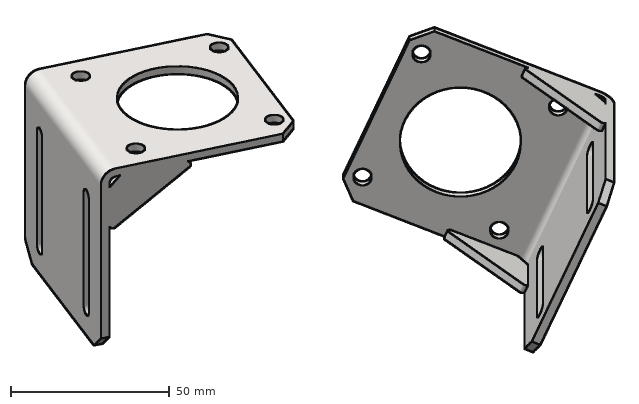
import cadquery as cq

width = 65.0
leg_length = 68.0
sheet = 3.0
bend_outer_radius = 5.0
bend_inner_radius = bend_outer_radius - sheet
corner_chamfer = 6.0

motor_center_y = 39.0
pilot_diameter = 38.3
bolt_spacing = 47.1
bolt_diameter = 5.8

slot_spacing = 40.0
slot_length = 46.4
slot_width = 4.5
slot_center_z = -37.1

gusset_thickness = 3.0
gusset_reach_y = 26.8
gusset_reach_z = 18.35
gusset_nose_y = 1.5
gusset_nose_z = 1.1
gusset_nose_radius = 1.0
gusset_relief = 3.5


def folded_sheet():
    """Two legs joined by a round bend, with the free corners cut off."""
    blank = (
        cq.Workplane("YZ")
        .polyline([
            (0, 0),
            (leg_length, 0),
            (leg_length, -sheet),
            (sheet, -sheet),
            (sheet, -leg_length),
            (0, -leg_length),
        ])
        .close()
        .extrude(width / 2, both=True)
    )
    inner_edge = cq.selectors.NearestToPointSelector((0, sheet, -sheet))
    outer_edge = cq.selectors.NearestToPointSelector((0, 0, 0))
    bent = blank.edges(inner_edge).fillet(bend_inner_radius)
    bent = bent.edges(outer_edge).fillet(bend_outer_radius)
    chamfered = bent.faces(">Y").edges("|Z").chamfer(corner_chamfer)
    return chamfered.faces("<Z").edges("|Y").chamfer(corner_chamfer)


def gusset():
    """Triangular web starting at x = 0, with rounded noses and a relief at the bend."""
    y_end = sheet + gusset_reach_y
    z_end = -sheet - gusset_reach_z
    embed = sheet / 2
    web = (
        cq.Workplane("YZ")
        .polyline([
            (sheet + gusset_relief, -sheet),
            (sheet + gusset_relief, -embed),
            (y_end, -embed),
            (y_end, -sheet),
            (y_end + gusset_nose_y, -sheet - gusset_nose_y),
            (sheet + gusset_nose_z, z_end - gusset_nose_z),
            (sheet, z_end),
            (embed, z_end),
            (embed, -sheet - gusset_relief),
            (sheet, -sheet - gusset_relief),
        ])
        .close()
        .extrude(gusset_thickness)
    )
    web = web.edges("|X and >Y").fillet(gusset_nose_radius)
    return web.edges("|X and <Z").fillet(gusset_nose_radius)


def motor_holes():
    """Pilot bore and four bolt holes through the horizontal leg."""
    leg_top = cq.Workplane("XY").center(0, motor_center_y)
    pilot = leg_top.circle(pilot_diameter / 2).extrude(-sheet)
    bolts = (
        leg_top.rect(bolt_spacing, bolt_spacing, forConstruction=True)
        .vertices()
        .circle(bolt_diameter / 2)
        .extrude(-sheet)
    )
    return pilot.union(bolts)


def adjustment_slots():
    """Two upright slots through the vertical leg."""
    return (
        cq.Workplane("XZ")
        .pushPoints([(side * slot_spacing / 2, slot_center_z) for side in (-1, 1)])
        .slot2D(slot_length, slot_width, angle=90)
        .extrude(-sheet)
    )


result = folded_sheet()
for gusset_start_x in (-width / 2, width / 2 - gusset_thickness):
    result = result.union(gusset().translate((gusset_start_x, 0, 0)))
result = result.cut(motor_holes()).cut(adjustment_slots())